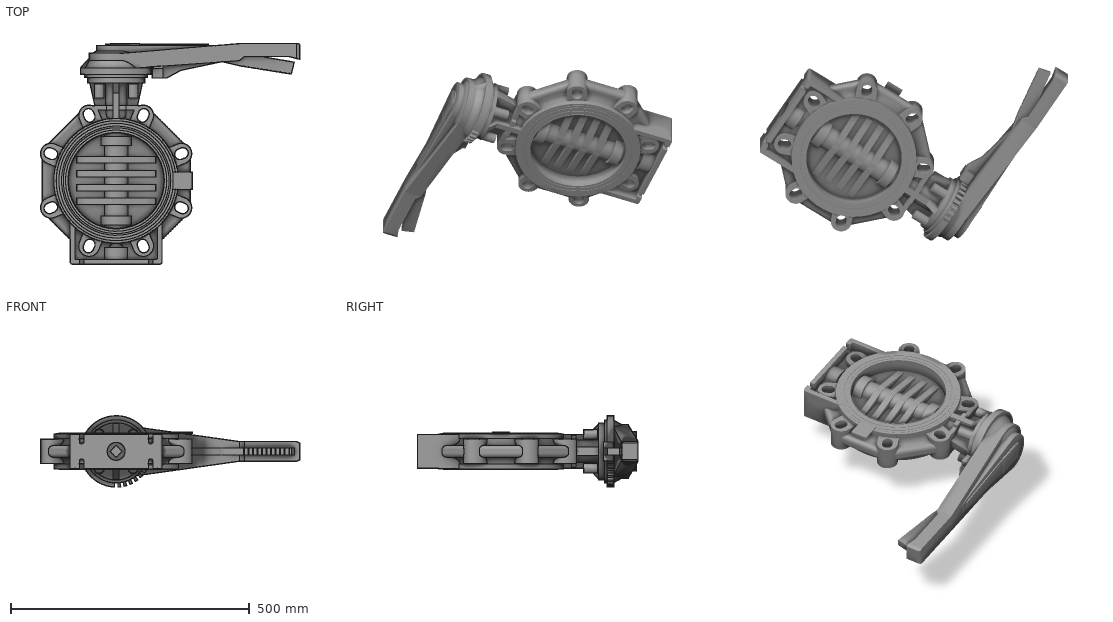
import cadquery as cq
import math

bore_diameter = 200.0

flange_diameter = 261.24
flange_face_z = 36.7
flange_underside_z = 26.5
rim_diameter = 251.0
rim_face_z = 37.3
seal_diameter = 240.0
seal_face_z = 38.3
seal_groove_radii = [(110.8, 114.4), (101.0, 106.0)]
seal_groove_depth = 1.0

octagon_apothem = 155.2
octagon_half_height = 12.5
octagon_edge_radius = 8.4
cove_radius = flange_underside_z - octagon_half_height
cove_start_radius = 129.0

lug_count = 8
lug_pitch_radius = 148.0
lug_diameter = 43.36
lug_half_height = 25.5
lug_slot_width = 22.0
lug_slot_length = 28.5

disc_half_thickness = 8.0
hub_diameter = 52.0
hub_end_diameter = 65.34
hub_end_start = 73.6
hub_end_stop = 93.0
disc_rib_positions = [-43.5, -14.5, 14.5, 43.5]
disc_rib_width = 13.5
disc_rib_half_length = 84.0
disc_rib_end_z = 12.0
disc_rib_end_slope = 1.6
disc_rib_top_z = 27.0
disc_rib_top_half = 8.0

stem_boss_diameter = 48.8

bracket_front_y = -175.0
bracket_half_width = 96.3
bracket_half_height = 35.5
bracket_wall = 10.0
bracket_wall_end_y = -85.0
bracket_corner_radius = 5.0
bracket_inner_radius = 3.0
bracket_boss_diameter = 54.5
bracket_boss_end_y = -139.6
lower_stem_diameter = 37.57
bracket_slot_x = 72.3
bracket_slot_width = 9.6
bracket_slot_depth = 19.7
stem_recess_diameter = 37.57
stem_recess_depth = 14.0
stem_square = 18.0
stem_end_setback = 4.0

tag_start_x = 119.5
tag_end_x = 159.7
tag_half_width = 18.0
tag_bottom_z = 37.0
tag_top_z = 40.2

bridge_half_width = 57.0
bridge_top_y = 157.0
bridge_thickness = 9.5
collar_half_width = 20.5
collar_half_height = 33.0

mount_start_y = 204.7
mount_diameter = 120.0
mount_step_y = 216.5
mount_step_diameter = 132.16
notch_plate_start_y = 222.4
notch_plate_diameter = 149.85
notch_plate_end_y = 236.4
notch_step = 10
notch_first_angle = -90
notch_last_angle = 10
notch_width = 6.8
screw_diameter = 20.0
screw_offset = 35.7
screw_end_y = 173.3
screw_seat_diameter = 22.0
screw_seat_height = 2.6

neck_rib_top_half = 55.4
neck_rib_bottom_half = 44.7
neck_rib_half_thickness = 9.0
gusset_thickness = 12.4
gusset_top_half = 58.0
gusset_low_half = 35.6
gusset_knee_y = 183.5

lever_top_y = 287.28
cone_base_radius = 65.5
drum_radius = 56.5
drum_start_y = 252.0
drum_end_y = 266.9
shoulder_radius = 50.0
cap_radius = 41.4
cap_start_y = 271.8
cap_end_y = 283.5
label_radius = 22.0
label_end_x = 193.0
label_end_half = 8.0
label_top_y = 285.7
badge_start_x = -12.0
badge_end_x = 49.0
badge_half_width = 20.0

arm_root_bottom_y = 233.0
arm_root_top_y = 265.5
arm_knee = (209.0, 247.8)
arm_end_bottom_y = 251.5

grip_start_x = 258.0
grip_end_x = 384.92
grip_half_width = 20.8
grip_bottom_y = 259.8
grip_step_length = 10.5
grip_lip_length = 24.0
grip_lip_y = 253.7
grip_clip_length = 7.0
grip_clip_width = 3.5
grip_top_radius = 5.0
cap_rail_end_x = 208.0
cap_rail_end_half = 12.0

latch_half_width = 7.6
latch_block_half_width = 20.0
latch_block_start_x = 75.5
latch_block_end_x = 98.0
latch_bottom_y = 215.0
latch_block_top_y = 235.5
latch_foot = (106.0, latch_bottom_y)
latch_ankle = (135.7, 231.0)
latch_waist = (221.7, 249.0)
latch_nose = (262.8, 239.6)
latch_heel = (367.0, 222.9)
latch_end_top = (373.0, 248.3)
latch_back = (316.7, 258.0)
latch_back_start_x = 300.0
latch_front_start_x = 230.0
latch_buried_y = 262.0
latch_front_top_y = 245.0
serration_count = 11
serration_width = 1.8
serration_depth = 1.0

pointer_half_width = 34.0
pointer_tip_y = 259.0
pointer_tip_radius = 54.0


def disc_z(diameter, half_height):
    """Cylinder on the bore axis, centred on the mid plane."""
    return cq.Workplane("XY").circle(diameter / 2).extrude(half_height, both=True)


def cylinder_y(diameter, y_start, y_end, x=0.0, z=0.0):
    """Cylinder along Y between two Y positions."""
    plane = cq.Plane(origin=(x, y_start, z), xDir=(1, 0, 0), normal=(0, 1, 0))
    return cq.Workplane(plane).circle(diameter / 2).extrude(y_end - y_start)


def block(x_range, y_range, z_range):
    """Box between two limits on each axis."""
    sizes = [high - low for low, high in (x_range, y_range, z_range)]
    corner = (x_range[0], y_range[0], z_range[0])
    return cq.Workplane("XY").box(*sizes, centered=False).translate(corner)


def fuse_all(*parts):
    """One solid from several overlapping parts."""
    first, *others = [part.val() for part in parts]
    return cq.Workplane(first.fuse(*others).clean())


def cut_all(part, cutters):
    """Part with every cutter removed."""
    return cq.Workplane(part.val().cut(*[cutter.val() for cutter in cutters]))


def side_plate(points, half_width):
    """Plate with an XY outline, centred on the plane Z = 0."""
    return cq.Workplane("XY").polyline(points).close().extrude(half_width, both=True)


def tapered_arm(radius, end_x, end_half, y_start, y_end):
    """Round head on the spindle axis whose sides run on as tangents to a narrow end."""
    lean = math.asin((radius - end_half) / end_x)
    tangent_x = radius * math.sin(lean)
    tangent_z = radius * math.cos(lean)
    plane = cq.Plane(origin=(0, y_end, 0), xDir=(1, 0, 0), normal=(0, -1, 0))
    return (
        cq.Workplane(plane)
        .moveTo(tangent_x, tangent_z)
        .threePointArc((-radius, 0), (tangent_x, -tangent_z))
        .lineTo(end_x, -end_half)
        .lineTo(end_x, end_half)
        .close()
        .extrude(y_end - y_start)
    )


def octagon_belt():
    """Octagonal belt with rounded outer edges."""
    return (
        cq.Workplane("XY")
        .polygon(lug_count, 2 * octagon_apothem, circumscribed=True)
        .extrude(octagon_half_height, both=True)
        .faces(">Z or <Z")
        .edges()
        .fillet(octagon_edge_radius)
    )


def flange_core():
    """Two flanges joined by a core that flares into the belt through concave coves."""
    cove_end = cove_start_radius + cove_radius
    cove_mid = cove_end - cove_radius * math.sqrt(0.5)
    cove_mid_z = flange_underside_z - cove_radius * math.sqrt(0.5)
    half_core = (
        cq.Workplane("XZ")
        .moveTo(0, 0)
        .lineTo(cove_end, 0)
        .lineTo(cove_end, octagon_half_height)
        .threePointArc((cove_mid, cove_mid_z), (cove_start_radius, flange_underside_z))
        .lineTo(flange_diameter / 2, flange_underside_z)
        .lineTo(flange_diameter / 2, flange_face_z)
        .lineTo(rim_diameter / 2, flange_face_z)
        .lineTo(rim_diameter / 2, rim_face_z)
        .lineTo(seal_diameter / 2, rim_face_z)
        .lineTo(seal_diameter / 2, seal_face_z)
        .lineTo(0, seal_face_z)
        .close()
        .revolve(360, (0, 0, 0), (0, 1, 0))
    )
    return half_core.union(half_core.mirror("XY"))


def lug_angles():
    return [(i + 0.5) * 360 / lug_count for i in range(lug_count)]


def lug(angle):
    """Round lug with a straight web running in to the core."""
    web = block((bore_diameter / 2 + lug_diameter / 2, lug_pitch_radius),
                (-lug_diameter / 2, lug_diameter / 2), (-lug_half_height, lug_half_height))
    pad = disc_z(lug_diameter, lug_half_height).translate((lug_pitch_radius, 0, 0))
    return web.union(pad).rotate((0, 0, 0), (0, 0, 1), angle)


def lug_slot(angle):
    """Bolt slot through a lug, longer in the radial direction."""
    return (
        cq.Workplane("XY")
        .center(lug_pitch_radius, 0)
        .slot2D(lug_slot_length, lug_slot_width)
        .extrude(flange_face_z, both=True)
        .rotate((0, 0, 0), (0, 0, 1), angle)
    )


def seal_grooves():
    """Ring grooves in both sealing faces."""
    grooves = []
    for inner, outer in seal_groove_radii:
        groove = (
            cq.Workplane("XY", origin=(0, 0, seal_face_z - seal_groove_depth))
            .circle(outer)
            .circle(inner)
            .extrude(seal_groove_depth)
        )
        grooves += [groove, groove.mirror("XY")]
    return grooves


def disc_rib(y):
    """Cross rib that slopes from the hub down to the disc on both faces."""
    inner_end = disc_rib_half_length - disc_rib_end_slope
    upper = [
        (-disc_rib_half_length, 0),
        (-inner_end, disc_rib_end_z),
        (-disc_rib_top_half, disc_rib_top_z),
        (disc_rib_top_half, disc_rib_top_z),
        (inner_end, disc_rib_end_z),
        (disc_rib_half_length, 0),
    ]
    lower = [(x, -z) for x, z in reversed(upper[1:-1])]
    outline = cq.Workplane("XZ", origin=(0, y, 0)).polyline(upper + lower).close()
    return outline.extrude(disc_rib_width / 2, both=True)


def closing_disc():
    """Round plate on a stem hub with thicker hub ends and cross ribs."""
    plate = disc_z(bore_diameter, disc_half_thickness)
    stem_reach = bore_diameter / 2
    hub = cylinder_y(hub_diameter, -stem_reach, stem_reach)
    rear_end = cylinder_y(hub_end_diameter, hub_end_start, hub_end_stop)
    front_end = cylinder_y(hub_end_diameter, -hub_end_stop, -hub_end_start)
    ribs = [disc_rib(y) for y in disc_rib_positions]
    return fuse_all(plate, hub, rear_end, front_end, *ribs)


def bracket():
    """Front wall with two side walls, a mid web and the lower stem boss."""
    wall_inner_x = bracket_half_width - bracket_wall
    wall_inner_y = bracket_front_y + bracket_wall
    shell = block((-bracket_half_width, bracket_half_width), (bracket_front_y, bracket_wall_end_y),
                  (-bracket_half_height, bracket_half_height))
    shell = shell.edges("|Z and <Y").fillet(bracket_corner_radius)
    inside = block((-wall_inner_x, wall_inner_x), (wall_inner_y, 0),
                   (-bracket_half_height, bracket_half_height))
    inside = inside.edges("|Z and <Y").fillet(bracket_inner_radius)
    web = block((-wall_inner_x, wall_inner_x), (wall_inner_y, bracket_wall_end_y),
                (-octagon_half_height, octagon_half_height))
    boss = cylinder_y(bracket_boss_diameter, wall_inner_y, bracket_boss_end_y)
    stem = cylinder_y(lower_stem_diameter, bracket_boss_end_y, -bore_diameter / 2)
    return fuse_all(shell.cut(inside), web, boss, stem)


def bracket_slots():
    """Round-ended slots that open at the upper and lower edges of the front wall."""
    slots = []
    y_centre = bracket_front_y + bracket_wall / 2
    round_z = bracket_half_height - bracket_slot_depth + bracket_slot_width / 2
    for x in (-bracket_slot_x, bracket_slot_x):
        for side in (-1, 1):
            length = 2 * (bracket_half_height - round_z) + bracket_slot_width
            slot = (
                cq.Workplane("XZ", origin=(x, y_centre, side * bracket_half_height))
                .slot2D(length, bracket_slot_width, 90)
                .extrude(bracket_wall / 2, both=True)
            )
            slots.append(slot)
    return slots


def stem_recess():
    """Round recess in the front wall around a square stem end."""
    recess_floor = bracket_front_y + stem_recess_depth
    recess = cylinder_y(stem_recess_diameter, bracket_front_y, recess_floor)
    stem = block((-stem_square / 2, stem_square / 2), (bracket_front_y + stem_end_setback, recess_floor),
                 (-stem_square / 2, stem_square / 2))
    return recess.cut(stem.rotate((0, 0, 0), (0, 1, 0), 45))


def neck():
    """Stem tube with side ribs, gussets and the bridge between the two rear lugs."""
    tube = cylinder_y(stem_boss_diameter, bore_diameter / 2, mount_start_y)
    bridge_y = (bridge_top_y - bridge_thickness, bridge_top_y)
    bridge = block((-bridge_half_width, bridge_half_width), bridge_y, (-lug_half_height, lug_half_height))
    belt_web = block((-bridge_half_width, bridge_half_width), (bore_diameter / 2, bridge_top_y),
                     (-octagon_half_height, octagon_half_height))
    collar = block((-collar_half_width, collar_half_width), bridge_y,
                   (-collar_half_height, collar_half_height))
    side_rib = side_plate(
        [
            (-neck_rib_bottom_half, bridge_top_y),
            (neck_rib_bottom_half, bridge_top_y),
            (neck_rib_top_half, mount_start_y),
            (-neck_rib_top_half, mount_start_y),
        ],
        neck_rib_half_thickness,
    )
    gusset = (
        cq.Workplane("YZ")
        .polyline(
            [
                (bore_diameter / 2 + lug_diameter / 2, -gusset_low_half),
                (gusset_knee_y, -gusset_low_half),
                (mount_start_y, -gusset_top_half),
                (mount_start_y, gusset_top_half),
                (gusset_knee_y, gusset_low_half),
                (bore_diameter / 2 + lug_diameter / 2, gusset_low_half),
            ]
        )
        .close()
        .extrude(gusset_thickness / 2, both=True)
    )
    return fuse_all(tube, bridge, belt_web, collar, side_rib, gusset)


def notch_plate():
    """Mounting flange, step and notched plate, with four screws below."""
    plate = cylinder_y(notch_plate_diameter, notch_plate_start_y, notch_plate_end_y)
    root_radius = mount_step_diameter / 2
    for angle in range(notch_first_angle, notch_last_angle + 1, notch_step):
        notch = block((root_radius, notch_plate_diameter), (notch_plate_start_y, notch_plate_end_y),
                      (-notch_width / 2, notch_width / 2))
        plate = plate.cut(notch.rotate((0, 0, 0), (0, 1, 0), -angle))
    plate = plate.union(cylinder_y(mount_diameter, mount_start_y, mount_step_y))
    plate = plate.union(cylinder_y(mount_step_diameter, mount_step_y, notch_plate_start_y))
    seat_y = mount_start_y - screw_seat_height
    for x in (-screw_offset, screw_offset):
        for z in (-screw_offset, screw_offset):
            plate = plate.union(cylinder_y(screw_diameter, screw_end_y, mount_start_y, x, z))
            plate = plate.union(cylinder_y(screw_seat_diameter, seat_y, mount_start_y, x, z))
    return plate


def name_tag():
    """Thin plate standing out over the flange edge."""
    return block((tag_start_x, tag_end_x), (-tag_half_width, tag_half_width), (tag_bottom_z, tag_top_z))


def make_valve():
    """Valve housing with its closing disc, foot bracket and notch plate."""
    lugs = [lug(angle) for angle in lug_angles()]
    slots = [lug_slot(angle) for angle in lug_angles()]
    bore = disc_z(bore_diameter, seal_face_z)
    housing = fuse_all(octagon_belt(), flange_core(), *lugs, bracket(), neck())
    housing = cut_all(housing, [bore, stem_recess(), *slots, *seal_grooves(), *bracket_slots()])
    return fuse_all(housing, closing_disc(), notch_plate(), name_tag())


def lever_head():
    """Stepped round head with a cone, a drum and a cap."""
    return (
        cq.Workplane("XY")
        .polyline(
            [
                (0, notch_plate_end_y),
                (cone_base_radius, notch_plate_end_y),
                (drum_radius, drum_start_y),
                (drum_radius, drum_end_y),
                (shoulder_radius, drum_end_y),
                (cap_radius, cap_start_y),
                (cap_radius, cap_end_y),
                (0, cap_end_y),
            ]
        )
        .close()
        .revolve(360, (0, 0, 0), (0, 1, 0))
    )


def lever_arm():
    """Arm rising from the drum to the grip, with a raised rail and label on its back."""
    side = side_plate(
        [
            (0, arm_root_bottom_y),
            arm_knee,
            (grip_start_x, arm_end_bottom_y),
            (grip_start_x, lever_top_y),
            (0, arm_root_top_y),
        ],
        drum_radius,
    )
    arm = tapered_arm(drum_radius, grip_start_x, grip_half_width, notch_plate_end_y, lever_top_y)
    arm = arm.intersect(side)
    rail = tapered_arm(cap_radius, cap_rail_end_x, cap_rail_end_half, drum_end_y, cap_end_y)
    label = tapered_arm(label_radius, label_end_x, label_end_half, cap_end_y, label_top_y)
    badge = block((badge_start_x, badge_end_x), (cap_end_y, lever_top_y),
                  (-badge_half_width, badge_half_width))
    return arm.union(rail).union(label).union(badge)


def grip():
    """Straight hand grip with a lip and clipped corners at its free end."""
    body = side_plate(
        [
            (grip_start_x, arm_end_bottom_y),
            (grip_start_x + grip_step_length, grip_bottom_y),
            (grip_end_x - grip_lip_length, grip_bottom_y),
            (grip_end_x, grip_lip_y),
            (grip_end_x, lever_top_y),
            (grip_start_x, lever_top_y),
        ],
        grip_half_width,
    )
    body = body.edges("|Z and >X and >Y").fillet(grip_top_radius)
    clip_x = grip_end_x - grip_clip_length
    clip_z = grip_half_width - grip_clip_width
    plan = (
        cq.Workplane("XZ", origin=(0, lever_top_y, 0))
        .polyline(
            [
                (grip_start_x, -grip_half_width),
                (clip_x, -grip_half_width),
                (grip_end_x, -clip_z),
                (grip_end_x, clip_z),
                (clip_x, grip_half_width),
                (grip_start_x, grip_half_width),
            ]
        )
        .close()
        .extrude(lever_top_y - arm_root_bottom_y)
    )
    return body.intersect(plan)


def latch():
    """Trigger below the grip, ending in a block that faces the notches."""
    trigger = side_plate(
        [
            (latch_block_end_x, latch_bottom_y),
            latch_foot,
            latch_ankle,
            latch_waist,
            latch_nose,
            latch_heel,
            latch_end_top,
            latch_back,
            (latch_back_start_x, latch_buried_y),
            (latch_front_start_x, latch_buried_y),
            (latch_block_end_x, latch_front_top_y),
        ],
        latch_half_width,
    )
    run_x = latch_heel[0] - latch_nose[0]
    run_y = latch_heel[1] - latch_nose[1]
    slope = math.degrees(math.atan2(run_y, run_x))
    for i in range(serration_count):
        share = (i + 0.5) / serration_count
        x = latch_nose[0] + share * run_x
        y = latch_nose[1] + share * run_y
        groove = cq.Workplane("XY").box(serration_width, 2 * serration_depth, 2 * latch_half_width)
        trigger = trigger.cut(groove.rotate((0, 0, 0), (0, 0, 1), slope).translate((x, y, 0)))
    tip = block((latch_block_start_x, latch_block_end_x), (latch_bottom_y, latch_block_top_y),
                (-latch_block_half_width, latch_block_half_width))
    return trigger.union(tip)


def pointer():
    """Sharp-edged fin that runs up the side of the head opposite the arm."""
    rim = notch_plate_diameter / 2
    root_x = -rim + pointer_half_width
    base = [
        cq.Vector(-rim, notch_plate_end_y, 0),
        cq.Vector(root_x, notch_plate_end_y, pointer_half_width),
        cq.Vector(root_x, notch_plate_end_y, -pointer_half_width),
    ]
    outline = cq.Wire.makePolygon(base, close=True)
    rise = cq.Vector(rim - pointer_tip_radius, pointer_tip_y - notch_plate_end_y, 0)
    return cq.Workplane(cq.Solid.extrudeLinear(outline, [], rise))


def make_lever():
    """Hand lever with its latch and pointer."""
    return fuse_all(lever_head(), lever_arm(), grip(), latch(), pointer())


valve = make_valve()
lever = make_lever()
result = cq.Compound.makeCompound([valve.val(), lever.val()])